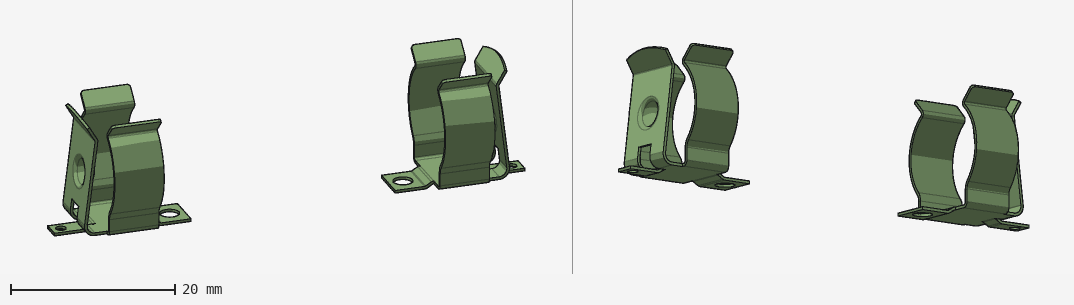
import cadquery as cq
import math


sheet = 0.35
half_sheet = sheet / 2
total_length = 60.8
clip_height = 15.6

base_width = 7.9
base_drop = 0.55
base_start = 18.2
base_mid_z = base_drop + half_sheet

foot_bend = 0.4
foot_bend_angle = 30.0
wide_foot_width = 5.05
wide_foot_end = 13.2
wide_hole_diameter = 2.45
wide_hole_inset = 1.9
narrow_foot_width = 2.5
narrow_foot_end = total_length / 2
narrow_foot_start = 25.1
narrow_hole_diameter = 1.3
narrow_hole_inset = 1.3

end_plate_outer = 27.45
end_plate_bend = 1.15
end_plate_lean = 7.1
lip_angle = 31.0
lip_bend = 0.35
lip_bend_z = 12.95
lip_crown = 0.8
notch_top = 3.45

dome_z = 7.55
dome_rim_radius = 2.1
dome_height = 1.5
dome_rim_bend = 0.35

arm_width = 6.4
arm_circle_radius = 6.85 - half_sheet
arm_circle_z = 8.15
leg_x = 4.89 - half_sheet
leg_bend = 0.5
shoulder_bend = 1.5
neck_bend = 0.4
neck_angle = 49.9
flare_angle = 45.0
flare_corner_radius = 0.4


def polar(radius, angle):
    return (radius * math.cos(math.radians(angle)), radius * math.sin(math.radians(angle)))


def shifted(point, step):
    return (point[0] + step[0], point[1] + step[1])


def straight(length):
    return ("straight", length)


def turn(radius, angle):
    """Bend to the left for a positive angle and to the right for a negative one."""
    return ("turn", radius, angle)


def follow(start, heading, steps):
    """Walk along the middle of the sheet; return the stretches as (kind, [(point, heading), ...])."""
    point = start
    stretches = []
    for step in steps:
        if step[0] == "straight":
            point = shifted(point, polar(step[1], heading))
            stretches.append(("straight", [(point, heading)]))
        else:
            radius, angle = step[1:]
            to_centre = 90 if angle > 0 else -90
            centre = shifted(point, polar(radius, heading + to_centre))
            poses = []
            for part in (0.5, 1.0):
                part_heading = heading + angle * part
                poses.append((shifted(centre, polar(radius, part_heading - to_centre)), part_heading))
            point, heading = poses[-1]
            stretches.append(("turn", poses))
    return stretches


def strip(plane, start, heading, steps):
    """Closed outline of a bent sheet strip whose middle follows the steps."""
    stretches = follow(start, heading, steps)

    def left(pose):
        return shifted(pose[0], polar(half_sheet, pose[1] + 90))

    def right(pose):
        return shifted(pose[0], polar(half_sheet, pose[1] - 90))

    first = (start, heading)
    outline = cq.Workplane(plane).moveTo(*right(first))
    for kind, poses in stretches:
        if kind == "turn":
            outline = outline.threePointArc(right(poses[0]), right(poses[1]))
        else:
            outline = outline.lineTo(*right(poses[0]))

    outline = outline.lineTo(*left(stretches[-1][1][-1]))
    before = [first] + [poses[-1] for _, poses in stretches[:-1]]
    for (kind, poses), begin in zip(reversed(stretches), reversed(before)):
        if kind == "turn":
            outline = outline.threePointArc(left(poses[0]), left(begin))
        else:
            outline = outline.lineTo(*left(begin))
    return outline.close()


bend_sine = math.sin(math.radians(foot_bend_angle))
bend_cosine = math.cos(math.radians(foot_bend_angle))
foot_slope = (base_drop - 2 * foot_bend * (1 - bend_cosine)) / bend_sine
foot_run = 2 * foot_bend * bend_sine + foot_slope * bend_cosine


def make_foot(root_y, end_y, width, hole_diameter, hole_inset):
    """Foot that leaves the base at root_y and steps down to the ground."""
    heading, down = (0, -1) if end_y > root_y else (180, 1)
    steps = [
        turn(foot_bend, down * foot_bend_angle),
        straight(foot_slope),
        turn(foot_bend, -down * foot_bend_angle),
        straight(abs(end_y - root_y) - foot_run),
    ]
    foot = strip("YZ", (root_y, base_mid_z), heading, steps).extrude(width / 2, both=True)
    inward = 1 if end_y < root_y else -1
    hole = (
        cq.Workplane("XY")
        .center(0, end_y + inward * hole_inset)
        .circle(hole_diameter / 2)
        .extrude(sheet)
    )
    return foot.cut(hole)


def crown_cutter(lip_end):
    """Material above the curved edge of the lip, square to the lip."""
    (end_y, end_z), heading = lip_end
    along_y, along_z = polar(1, heading)
    lip_plane = cq.Plane(origin=(0, end_y, end_z), xDir=(1, 0, 0), normal=(0, -along_z, along_y))
    half = base_width / 2
    return (
        cq.Workplane(lip_plane)
        .moveTo(-half, -lip_crown)
        .threePointArc((0, 0), (half, -lip_crown))
        .lineTo(half, lip_crown)
        .lineTo(-half, lip_crown)
        .close()
        .extrude(sheet, both=True)
    )


def make_dome(centre_y):
    """Hollow dome that bulges over the base; its profile is two tangent arcs turned about its axis."""
    arc_angle = 2 * math.degrees(math.atan(dome_height / dome_rim_radius))
    sphere_radius = dome_rim_radius / math.sin(math.radians(arc_angle)) - dome_rim_bend
    steps = [turn(sphere_radius, -arc_angle), turn(dome_rim_bend, arc_angle)]
    axis_y, axis_z = polar(1, 180 + end_plate_lean)
    plane = cq.Plane(
        origin=(0, centre_y, dome_z),
        xDir=(1, 0, 0),
        normal=(0, -axis_z, axis_y),
    )
    dome = strip(plane, (0, dome_height), 0, steps).revolve(360, (0, 0), (0, 1))
    opening = (
        cq.Workplane(plane)
        .transformed(rotate=(90, 0, 0))
        .circle(dome_rim_radius)
        .extrude(sheet, both=True)
    )
    return dome, opening


def make_base_and_end_plate():
    """Base, leaning end plate and outward lip as one bent strip, with notch and dome."""
    bend_start = end_plate_outer - half_sheet - end_plate_bend
    plate_heading = 90 + end_plate_lean
    lip_heading = 90 - lip_angle
    bend_end = shifted(
        (bend_start, base_mid_z + end_plate_bend), polar(end_plate_bend, plate_heading - 90)
    )
    plate_length = (lip_bend_z - bend_end[1]) / math.cos(math.radians(end_plate_lean))
    lip_turn = plate_heading - lip_heading
    lip_bend_rise = lip_bend * (
        math.sin(math.radians(lip_angle)) + math.sin(math.radians(end_plate_lean))
    )
    lip_tip_z = clip_height - half_sheet * math.sin(math.radians(lip_angle))
    lip_length = (lip_tip_z - lip_bend_z - lip_bend_rise) / math.cos(math.radians(lip_angle))
    steps = [
        straight(bend_start - base_start),
        turn(end_plate_bend, plate_heading),
        straight(plate_length),
        turn(lip_bend, -lip_turn),
        straight(lip_length),
    ]
    base_point = (base_start, base_mid_z)
    body = strip("YZ", base_point, 0, steps).extrude(base_width / 2, both=True)
    lip_end = follow(base_point, 0, steps)[-1][1][-1]
    body = body.cut(crown_cutter(lip_end))

    notch = cq.Workplane("XY").box(
        narrow_foot_width, end_plate_outer - narrow_foot_start, notch_top, centered=(True, False, False)
    )
    body = body.cut(notch.translate((0, narrow_foot_start, 0)))

    dome_y = bend_end[0] - (dome_z - bend_end[1]) * math.tan(math.radians(end_plate_lean))
    dome, opening = make_dome(dome_y)
    return body.cut(opening).union(dome)


def make_arm():
    """Gripping arm on the +X side, from the middle of the base to the flared tip."""
    shoulder_x = leg_x + shoulder_bend
    shoulder_drop = math.sqrt((arm_circle_radius + shoulder_bend) ** 2 - shoulder_x ** 2)
    shoulder_z = arm_circle_z - shoulder_drop
    shoulder_angle = math.degrees(math.atan2(shoulder_drop, shoulder_x))

    neck_z = arm_circle_z + polar(arm_circle_radius + neck_bend, neck_angle)[1]
    flare_start_z = neck_z + polar(neck_bend, 90 + flare_angle)[1]
    flare_end_z = clip_height - half_sheet * math.cos(math.radians(flare_angle))
    flare_length = (flare_end_z - flare_start_z) / math.sin(math.radians(flare_angle))

    steps = [
        straight(leg_x - leg_bend),
        turn(leg_bend, 90),
        straight(shoulder_z - base_mid_z - leg_bend),
        turn(shoulder_bend, -shoulder_angle),
        turn(arm_circle_radius, shoulder_angle + neck_angle),
        turn(neck_bend, -(90 + neck_angle - flare_angle)),
        straight(flare_length),
    ]
    arm = strip("XZ", (0, base_mid_z), 0, steps).extrude(-arm_width)
    arm = arm.translate((0, base_start, 0))
    return arm.faces(">(1, 0, 1)").edges("#Y").fillet(flare_corner_radius)


def make_clip():
    """One complete clip on the +Y side."""
    wide_foot = make_foot(
        base_start, wide_foot_end, wide_foot_width, wide_hole_diameter, wide_hole_inset
    )
    narrow_foot = make_foot(
        narrow_foot_start, narrow_foot_end, narrow_foot_width, narrow_hole_diameter, narrow_hole_inset
    )
    arm = make_arm()
    return (
        make_base_and_end_plate()
        .union(arm)
        .union(arm.mirror("YZ"))
        .union(wide_foot)
        .union(narrow_foot)
    )


clips = []
for facing in (0, 180):
    clip = make_clip().rotate((0, 0, 0), (0, 0, 1), facing)
    clips.append(clip.val())

result = cq.Compound.makeCompound(clips)